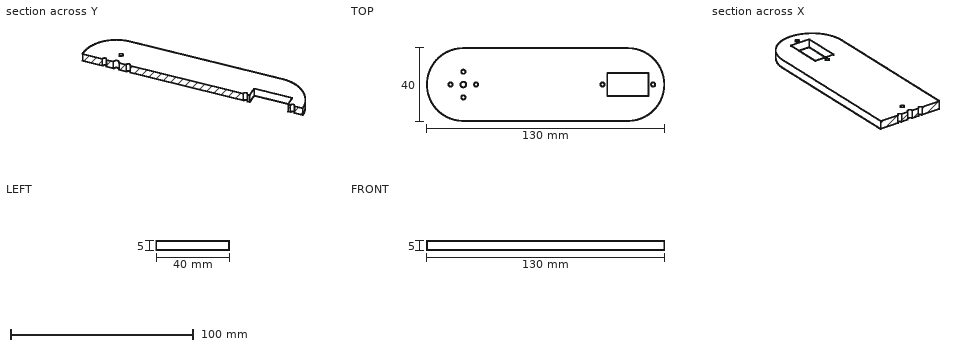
import cadquery as cq

length = 130.0
width = 40.0
thickness = 5.0
end_center_x = (length - width) / 2

screw_hole_diameter = 2.2

shaft_hole_diameter = 3.0
horn_hole_circle_radius = 7.0
horn_hole_count = 4

servo_length = 22.5
servo_width = 12.5
servo_screw_spacing = 27.7


def make_plate():
    """Flat link with full-round ends, centred on the origin in X and Y, bottom at Z = 0."""
    return cq.Workplane("XY").slot2D(length, width).extrude(thickness)


def on_top(plate, center_x):
    """Workplane on the top face with its origin at the given X on the long axis."""
    return plate.faces(">Z").workplane(origin=(center_x, 0, thickness))


def cut_horn_mount(plate):
    """Central shaft hole surrounded by a ring of screw holes, about the -X end centre."""
    plate = on_top(plate, -end_center_x).hole(shaft_hole_diameter)
    ring = on_top(plate, -end_center_x).polarArray(horn_hole_circle_radius, 0, 360, horn_hole_count)
    return ring.hole(screw_hole_diameter)


def cut_servo_mount(plate):
    """Rectangular through opening with one screw hole beyond each short side, about the +X end centre."""
    plate = on_top(plate, end_center_x).rect(servo_length, servo_width).cutThruAll()
    screw_x = servo_screw_spacing / 2
    screws = on_top(plate, end_center_x).pushPoints([(-screw_x, 0), (screw_x, 0)])
    return screws.hole(screw_hole_diameter)


plate = make_plate()
plate = cut_horn_mount(plate)
result = cut_servo_mount(plate)